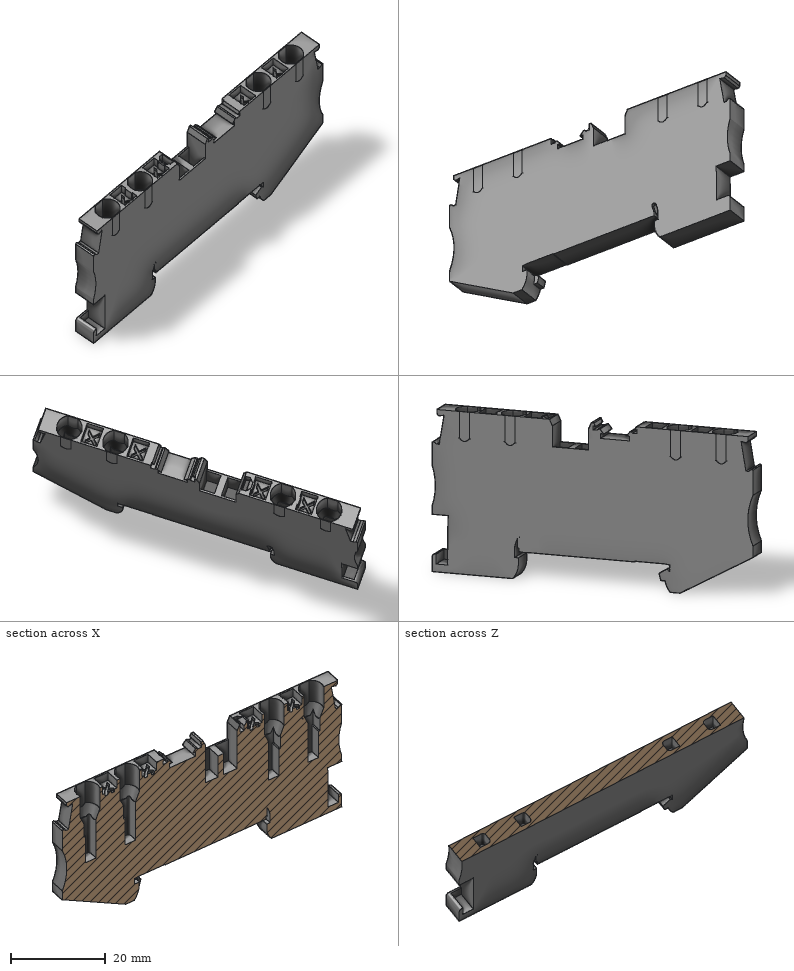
import cadquery as cq

THICKNESS = 5.1
LENGTH = 72.2
HEIGHT = 35.2
END_Y = LENGTH / 2
SIDE_X = THICKNESS / 2

LIP_Y = 35.0
LIP_TIP_Z = HEIGHT - 0.95
LIP_BARB_Y = 34.6
LIP_BARB_Z = HEIGHT - 1.4
NECK_TOP_Y = 33.4
NECK_TOP_Z = HEIGHT - 1.15
NECK_FOOT_Y = 34.5
SHOULDER_Z = 27.7
CATCH_START_Y = 35.1
CATCH_Y = 35.75
CATCH_Z = 28.2
SHOULDER_CORNER_Z = 28.1

FRONT_HOLLOW_TOP_Z = 23.1
FRONT_HOLLOW_BOTTOM_Z = 14.2
FRONT_HOLLOW_DEPTH = 0.7
REAR_HOLLOW_TOP_Z = 22.6
REAR_HOLLOW_BOTTOM_Z = 11.6
REAR_HOLLOW_DEPTH = 1.15

SEAT_CENTER_Y = 5.05
SEAT_HALF = 3.25
SEAT_Z = 32.05
LOWER_HOOK_TIP_HALF = 2.5
LOWER_HOOK_Z = 33.1
LOWER_HOOK_TOP_Z = 34.1
LOWER_HOOK_TOP_HALF = 3.4
LOWER_HOOK_BACK_HALF = 3.75
LEDGE_START_HALF = 4.0
LEDGE_Z = 33.8
UPPER_HOOK_ROOT_HALF = 4.9
UPPER_HOOK_TIP_HALF = 4.3
UPPER_HOOK_Z = 34.6
UPPER_HOOK_TOP_HALF = 4.8
HOOK_NOTCH_WIDTH = 0.65

SLOT_REAR_Y = -0.95
SLOT_FRONT_Y = -9.0
SLOT_Z = 29.3
SLOT_CHAMFER_WIDTH = 0.65
SLOT_CHAMFER_HEIGHT = 1.4
SLOT_POCKET_WIDTH = 4.25
SLOT_POCKET_DEPTH = 5.8
SLOT_REAR_POCKET_END_Y = -4.1
SLOT_FRONT_POCKET_START_Y = -5.6

RAIL_FACE_Z = 5.9
RAIL_RELIEF_Z = 6.1
RAIL_RELIEF_END_Y = 9.45
REAR_CORNER_Z = 9.1
FOOT_HEEL_Y = 19.7
FOOT_TOE_Y = 17.5
FOOT_TIP_Y = 16.2
FOOT_TIP_Z = 4.55
FOOT_ARC_MID = (16.5, 1.6)
FOOT_ARC_TOP_Z = 3.1
FOOT_NECK_Y = 17.3
SPRING_HOOK_START_X = 0.15
SPRING_HOOK = [(17.3, 4.2), (17.2, 4.8), (16.75, 5.0), (14.95, 3.9), (15.4, 2.4), (16.75, 2.4)]

FLEX_SLOT_EDGE_Y = -16.5
FLEX_SLOT_TOP_EDGE = (-15.95, 8.7)
FLEX_SLOT_CROWN = (-16.45, 9.1)
FLEX_SLOT_TOP_FRONT = (-16.9, 8.8)
FLEX_SLOT_BEND = (-17.25, 7.9)
FLEX_SLOT_FRONT_Y = -17.55
FLEX_SLOT_FRONT_Z = 6.8
FRONT_FOOT_TOP_Z = 4.6
FRONT_FOOT_TIP_Y = -16.7
FRONT_FOOT_ARC_START_Z = 3.1
FRONT_FOOT_ARC_MID = (-17.05, 1.45)
FRONT_FOOT_TOE_Y = -18.0
FLEX_WEB_RECESS = 0.7
FLEX_WEB_Y = -16.9
FLEX_WEB_BOTTOM_Z = 6.7

NOTCH_Y = -32.55
NOTCH_TOP_Z = 12.4
NOTCH_BEND_Z = 10.0
NOTCH_LEAN = 0.1
NOTCH_FLOOR_Z = 3.9
NOTCH_ROUND = 0.7
NOTCH_RIM = 0.95
NOTCH_POCKET_WALL = 0.4
NOTCH_POCKET_DEPTH = 2.2

FUNNEL_PITCH = 10.25
REAR_FUNNEL_YS = (28.9, 28.9 - FUNNEL_PITCH)
FRONT_FUNNEL_YS = (-28.9, -28.9 + FUNNEL_PITCH)
FUNNEL_RADIUS = 2.7
FUNNEL_WIDTH = 4.85
FUNNEL_STRAIGHT_DEPTH = 5.8
FUNNEL_CONE_DEPTH = 2.9
FUNNEL_END_RADIUS = 1.6
WIRE_HOLE_WIDTH = 2.8
WIRE_HOLE_LENGTH = 3.0
WIRE_HOLE_ROUND = 0.7
WIRE_HOLE_DEPTH = 13.0
WIRE_LEDGE_WIDTH = 0.35
WIRE_LEDGE_DEPTH = 5.8

REAR_TEST_POCKET_YS = (23.8, 23.8 - FUNNEL_PITCH)
FRONT_TEST_POCKET_YS = (-13.65, -13.65 - FUNNEL_PITCH)
TEST_POCKET_LENGTH = 3.6
TEST_POCKET_WIDTH = 4.25
TEST_POCKET_DEPTH = 2.2
POCKET_BULGE = 0.2
POCKET_BULGE_WIDTH = 1.9
CROSS_LENGTH = 2.4
CROSS_WIDTH = 3.3
CROSS_ARM = 0.95
CROSS_SIDE_WAIST = 0.4
CROSS_DEPTH = 0.7

KEY_POCKET_START_Y = -9.9
KEY_POCKET_BEND_Y = -10.8
KEY_POCKET_END_Y = -11.7
KEY_POCKET_WIDTH = 3.1
KEY_POCKET_TIP_WIDTH = 1.3
KEY_POCKET_DEPTH = 2.2


def end_points(side):
    """Points from the top of the lip down to the finger hollow; side is +1 rear, -1 front."""
    hollow_top_z = REAR_HOLLOW_TOP_Z if side > 0 else FRONT_HOLLOW_TOP_Z
    lip_to_hollow = [
        (LIP_Y, HEIGHT),
        (LIP_Y, LIP_TIP_Z),
        (LIP_BARB_Y, LIP_BARB_Z),
        (NECK_TOP_Y, NECK_TOP_Z),
        (NECK_FOOT_Y, SHOULDER_Z),
        (CATCH_START_Y, SHOULDER_Z),
        (CATCH_Y, CATCH_Z),
        (END_Y, SHOULDER_CORNER_Z),
        (END_Y, hollow_top_z),
    ]
    return [(side * y, z) for y, z in lip_to_hollow]


def hook_points(side):
    """Hooks beside the marker seat, from the top face down to the seat floor."""
    offsets = [
        (UPPER_HOOK_TOP_HALF, HEIGHT),
        (UPPER_HOOK_TIP_HALF, UPPER_HOOK_Z),
        (UPPER_HOOK_ROOT_HALF, UPPER_HOOK_Z),
        (UPPER_HOOK_ROOT_HALF, LEDGE_Z),
        (LEDGE_START_HALF, LEDGE_Z),
        (LOWER_HOOK_BACK_HALF, LOWER_HOOK_TOP_Z),
        (LOWER_HOOK_TOP_HALF, LOWER_HOOK_TOP_Z),
        (LOWER_HOOK_TIP_HALF, LOWER_HOOK_Z),
        (SEAT_HALF, LOWER_HOOK_Z),
        (SEAT_HALF, SEAT_Z),
    ]
    return [(SEAT_CENTER_Y + side * offset, z) for offset, z in offsets]


def bridge_slot_points():
    """Bridge slot from its rear chamfer to its front chamfer."""
    chamfer_z = HEIGHT - SLOT_CHAMFER_HEIGHT
    return [
        (SLOT_REAR_Y + SLOT_CHAMFER_WIDTH, HEIGHT),
        (SLOT_REAR_Y, chamfer_z),
        (SLOT_REAR_Y, SLOT_Z),
        (SLOT_FRONT_Y, SLOT_Z),
        (SLOT_FRONT_Y, chamfer_z),
        (SLOT_FRONT_Y - SLOT_CHAMFER_WIDTH, HEIGHT),
    ]


def line_through(outline, points):
    for y, z in points:
        outline = outline.lineTo(y, z)
    return outline


def body():
    """Side profile, drawn from the rear hollow over the top to the front end and back below."""
    front_hollow_mid_z = (FRONT_HOLLOW_TOP_Z + FRONT_HOLLOW_BOTTOM_Z) / 2
    rear_hollow_mid_z = (REAR_HOLLOW_TOP_Z + REAR_HOLLOW_BOTTOM_Z) / 2
    top = end_points(1)[::-1] + hook_points(1) + hook_points(-1)[::-1]
    top += bridge_slot_points() + end_points(-1)

    outline = cq.Workplane("YZ", origin=(-SIDE_X, 0, 0)).moveTo(*top[0])
    outline = line_through(outline, top[1:])

    outline = outline.threePointArc(
        (-END_Y + FRONT_HOLLOW_DEPTH, front_hollow_mid_z), (-END_Y, FRONT_HOLLOW_BOTTOM_Z)
    )
    outline = line_through(outline, [
        (-END_Y, NOTCH_TOP_Z),
        (NOTCH_Y + NOTCH_LEAN, NOTCH_TOP_Z),
        (NOTCH_Y, NOTCH_BEND_Z),
        (NOTCH_Y, NOTCH_FLOOR_Z),
        (-END_Y + NOTCH_ROUND, NOTCH_FLOOR_Z),
    ])
    outline = outline.radiusArc((-END_Y, NOTCH_FLOOR_Z - NOTCH_ROUND), -NOTCH_ROUND)

    outline = line_through(outline, [(-END_Y, 0), (FRONT_FOOT_TOE_Y, 0)])
    outline = outline.threePointArc(FRONT_FOOT_ARC_MID, (FRONT_FOOT_TIP_Y, FRONT_FOOT_ARC_START_Z))
    outline = line_through(outline, [
        (FRONT_FOOT_TIP_Y, FRONT_FOOT_TOP_Z),
        (FLEX_SLOT_FRONT_Y, FRONT_FOOT_TOP_Z),
        (FLEX_SLOT_FRONT_Y, FLEX_SLOT_FRONT_Z),
        FLEX_SLOT_BEND,
        FLEX_SLOT_TOP_FRONT,
    ])
    outline = outline.threePointArc(FLEX_SLOT_CROWN, FLEX_SLOT_TOP_EDGE)

    outline = line_through(outline, [
        (FLEX_SLOT_EDGE_Y, FLEX_WEB_BOTTOM_Z),
        (FLEX_SLOT_EDGE_Y, RAIL_FACE_Z),
        (RAIL_RELIEF_END_Y, RAIL_FACE_Z),
        (RAIL_RELIEF_END_Y, RAIL_RELIEF_Z),
        (FOOT_TIP_Y, RAIL_RELIEF_Z),
        (FOOT_NECK_Y, RAIL_FACE_Z),
        (FOOT_NECK_Y, FOOT_TIP_Z),
        (FOOT_TIP_Y, FOOT_TIP_Z),
        (FOOT_TIP_Y, FOOT_ARC_TOP_Z),
    ])
    outline = outline.threePointArc(FOOT_ARC_MID, (FOOT_TOE_Y, 0))
    outline = line_through(outline, [
        (FOOT_HEEL_Y, 0),
        (END_Y, REAR_CORNER_Z),
        (END_Y, REAR_HOLLOW_BOTTOM_Z),
    ])
    outline = outline.threePointArc((END_Y - REAR_HOLLOW_DEPTH, rear_hollow_mid_z), top[0])
    return outline.close().extrude(THICKNESS)


def box_between(x_range, y_range, z_range):
    (x0, x1), (y0, y1), (z0, z1) = (sorted(limits) for limits in (x_range, y_range, z_range))
    return cq.Workplane("XY").box(x1 - x0, y1 - y0, z1 - z0, centered=False).translate((x0, y0, z0))


def pocket(width, y_range, top_z, depth):
    """Rectangular pocket centred across the thickness, sunk from top_z."""
    return box_between((-width / 2, width / 2), y_range, (top_z - depth, top_z))


def spring_hook():
    """Rail hook on the rear foot, filling only the +X part of the thickness."""
    plane = cq.Workplane("YZ", origin=(SPRING_HOOK_START_X, 0, 0))
    return plane.polyline(SPRING_HOOK).close().extrude(SIDE_X - SPRING_HOOK_START_X)


def flex_web():
    """Web that closes the rear part of the flexing slot, set back from the -X face."""
    return box_between(
        (-SIDE_X + FLEX_WEB_RECESS, SIDE_X),
        (FLEX_WEB_Y, FLEX_SLOT_TOP_EDGE[0]),
        (FLEX_WEB_BOTTOM_Z, FLEX_SLOT_CROWN[1]),
    )


def hook_notch(side):
    """Gap in the overhang of an upper hook, at the -X face."""
    return box_between(
        (-SIDE_X, -SIDE_X + HOOK_NOTCH_WIDTH),
        (SEAT_CENTER_Y + side * UPPER_HOOK_TIP_HALF, SEAT_CENTER_Y + side * UPPER_HOOK_ROOT_HALF),
        (UPPER_HOOK_Z, HEIGHT),
    )


def wire_funnel(y, inner_side):
    """Round entry with flattened sides, a cone below it, and a squarish wire hole.

    The wire hole is rounded on the side given by inner_side (+1 towards +Y) and has
    a narrow ledge partway down its flat opposite side.
    """
    cone_top_z = HEIGHT - FUNNEL_STRAIGHT_DEPTH
    cone_end_z = cone_top_z - FUNNEL_CONE_DEPTH
    entry = cq.Workplane("XY", origin=(0, y, cone_top_z)).circle(FUNNEL_RADIUS)
    entry = entry.extrude(FUNNEL_STRAIGHT_DEPTH)
    cone = cq.Workplane("XY", origin=(0, y, cone_end_z)).circle(FUNNEL_END_RADIUS)
    cone = cone.workplane(offset=FUNNEL_CONE_DEPTH).circle(FUNNEL_RADIUS).loft()
    flats = pocket(FUNNEL_WIDTH, (y - FUNNEL_RADIUS, y + FUNNEL_RADIUS), HEIGHT, HEIGHT - cone_end_z)
    half_length = WIRE_HOLE_LENGTH / 2
    wire_hole = pocket(WIRE_HOLE_WIDTH, (y - half_length, y + half_length), cone_top_z, WIRE_HOLE_DEPTH)
    rounded_side = ">Y" if inner_side > 0 else "<Y"
    wire_hole = wire_hole.faces(rounded_side).edges("|Z").fillet(WIRE_HOLE_ROUND)
    flat_y = y - inner_side * half_length
    ledge_range = (flat_y, flat_y + inner_side * WIRE_LEDGE_WIDTH)
    ledge_z = cone_top_z - WIRE_LEDGE_DEPTH
    ledge = pocket(WIRE_HOLE_WIDTH, ledge_range, ledge_z, WIRE_HOLE_DEPTH - WIRE_LEDGE_DEPTH)
    return entry.union(cone).intersect(flats).union(wire_hole.cut(ledge))


def test_pocket(y, bulged):
    """Rectangular pocket with a crossed recess; a bulged one has a thicker middle in its +Y wall."""
    half = TEST_POCKET_LENGTH / 2
    opening = pocket(TEST_POCKET_WIDTH, (y - half, y + half), HEIGHT, TEST_POCKET_DEPTH)
    if bulged:
        bulge_range = (y + half - POCKET_BULGE, y + half)
        opening = opening.cut(pocket(POCKET_BULGE_WIDTH, bulge_range, HEIGHT, TEST_POCKET_DEPTH))
    cross_x = CROSS_WIDTH / 2
    cross_y = CROSS_LENGTH / 2
    cross_points = [
        (-cross_x, -cross_y),
        (-cross_x + CROSS_ARM, -cross_y),
        (0, -CROSS_SIDE_WAIST),
        (cross_x - CROSS_ARM, -cross_y),
        (cross_x, -cross_y),
        (CROSS_SIDE_WAIST, 0),
        (cross_x, cross_y),
        (cross_x - CROSS_ARM, cross_y),
        (0, CROSS_SIDE_WAIST),
        (-cross_x + CROSS_ARM, cross_y),
        (-cross_x, cross_y),
        (-CROSS_SIDE_WAIST, 0),
    ]
    cross_z = HEIGHT - TEST_POCKET_DEPTH - CROSS_DEPTH
    cross = cq.Workplane("XY", origin=(0, y, cross_z)).polyline(cross_points).close().extrude(CROSS_DEPTH)
    return opening.union(cross)


def key_pocket():
    """Pocket that narrows towards -Y, its narrow end sloping up to the top face."""
    half = KEY_POCKET_WIDTH / 2
    tip_half = KEY_POCKET_TIP_WIDTH / 2
    floor_z = HEIGHT - KEY_POCKET_DEPTH
    plan = cq.Workplane("XY", origin=(0, 0, floor_z)).polyline([
        (-half, KEY_POCKET_START_Y),
        (-half, KEY_POCKET_BEND_Y),
        (-tip_half, KEY_POCKET_END_Y),
        (tip_half, KEY_POCKET_END_Y),
        (half, KEY_POCKET_BEND_Y),
        (half, KEY_POCKET_START_Y),
    ]).close().extrude(KEY_POCKET_DEPTH)
    slope_drop = KEY_POCKET_BEND_Y - KEY_POCKET_END_Y
    side_view = cq.Workplane("YZ", origin=(-half, 0, 0)).polyline([
        (KEY_POCKET_START_Y, HEIGHT),
        (KEY_POCKET_START_Y, floor_z),
        (KEY_POCKET_BEND_Y, floor_z),
        (KEY_POCKET_BEND_Y, HEIGHT - slope_drop),
        (KEY_POCKET_END_Y, HEIGHT),
    ]).close().extrude(KEY_POCKET_WIDTH)
    return plan.intersect(side_view)


def notch_pocket():
    """Pocket sunk into the floor of the release notch: walled at -X, open at the +X face."""
    return box_between(
        (-SIDE_X + NOTCH_POCKET_WALL, SIDE_X),
        (-END_Y + NOTCH_RIM, NOTCH_Y),
        (NOTCH_FLOOR_Z - NOTCH_POCKET_DEPTH, NOTCH_FLOOR_Z),
    )


result = body().union(spring_hook()).union(flex_web())

for hook_side in (1, -1):
    result = result.cut(hook_notch(hook_side))

for slot_range in ((SLOT_REAR_Y, SLOT_REAR_POCKET_END_Y), (SLOT_FRONT_POCKET_START_Y, SLOT_FRONT_Y)):
    result = result.cut(pocket(SLOT_POCKET_WIDTH, slot_range, SLOT_Z, SLOT_POCKET_DEPTH))

for funnel_y in REAR_FUNNEL_YS:
    result = result.cut(wire_funnel(funnel_y, inner_side=-1))
for funnel_y in FRONT_FUNNEL_YS:
    result = result.cut(wire_funnel(funnel_y, inner_side=1))

for pocket_y in REAR_TEST_POCKET_YS:
    result = result.cut(test_pocket(pocket_y, bulged=False))
for pocket_y in FRONT_TEST_POCKET_YS:
    result = result.cut(test_pocket(pocket_y, bulged=True))

result = result.cut(key_pocket()).cut(notch_pocket())